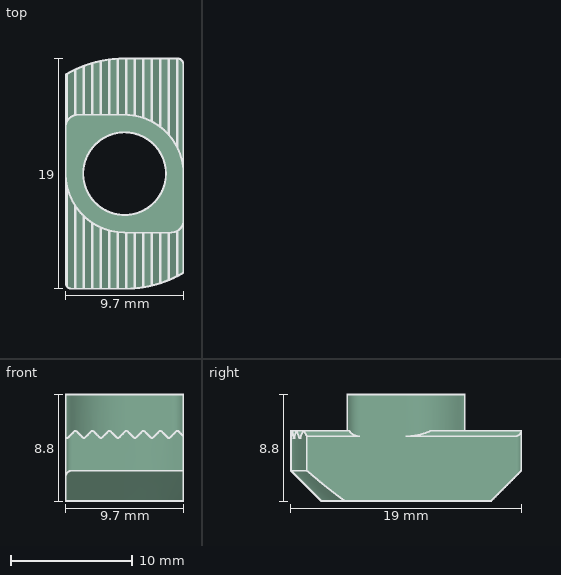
import cadquery as cq
import math

width = 9.7
length = 19.0
height = 8.8
half_width = width / 2
half_length = length / 2

base_corner_radius = 0.5
end_chamfer = 2.5

crest_height = 5.8
tooth_depth = 0.62
tooth_pitch = 1.4
crest_flat = 0.08
crest_offset = 0.15
valley_height = crest_height - tooth_depth
valley_flat = tooth_pitch - crest_flat - 2 * tooth_depth

boss_corner_radius = 1.0
bore_diameter = 6.8


def half_turned(solid):
    """Copy of a solid turned 180 degrees about the bore axis."""
    return solid.rotate((0, 0, 0), (0, 0, 1), 180)


def end_profile():
    """Half of the lengthwise section of the base, from the bore axis out to one bevelled end."""
    bottom_half_length = half_length - end_chamfer
    return (
        cq.Workplane("YZ")
        .lineTo(bottom_half_length, 0)
        .lineTo(half_length, end_chamfer)
        .lineTo(half_length, crest_height)
        .lineTo(0, crest_height)
        .close()
    )


def make_base_blank():
    """Plate with bevelled ends: each end is half flat and half a round sweep about the bore axis."""
    flat_quarter = end_profile().extrude(half_width)
    rounded_block = (
        cq.Workplane("XY")
        .rect(width, length)
        .extrude(crest_height)
        .edges("|Z and >X and >Y")
        .fillet(base_corner_radius)
    )
    flat_quarter = flat_quarter.intersect(rounded_block)

    round_body = end_profile().revolve(360, (0, 0, 0), (0, 1, 0))
    quarter_space = cq.Workplane("XY").box(half_width, half_length, crest_height, centered=False)
    round_quarter = round_body.intersect(quarter_space.translate((-half_width, 0, 0)))

    half_base = flat_quarter.union(round_quarter)
    return half_base.union(half_turned(half_base))


def make_groove(center_x):
    """Cutter for one V groove with a narrow flat bottom."""
    bottom = valley_flat / 2
    top = bottom + tooth_depth
    return (
        cq.Workplane("XZ")
        .moveTo(center_x - top, crest_height)
        .lineTo(center_x - bottom, valley_height)
        .lineTo(center_x + bottom, valley_height)
        .lineTo(center_x + top, crest_height)
        .close()
        .extrude(half_length, both=True)
    )


def cut_serrations(base):
    """Cut every groove that reaches the width of the base."""
    first_valley = crest_offset - tooth_pitch / 2
    reach = math.ceil(half_width / tooth_pitch)
    for index in range(-reach, reach + 1):
        base = base.cut(make_groove(first_valley + index * tooth_pitch))
    return base


def make_boss():
    """Square boss with two opposite corners fully rounded and the other two lightly rounded."""
    boss = cq.Workplane("XY").rect(width, width).extrude(height)
    boss = boss.edges("|Z and ((>X and <Y) or (<X and >Y))").fillet(boss_corner_radius)
    round_column = cq.Workplane("XY").circle(half_width).extrude(height)
    square_corner = cq.Workplane("XY").box(half_width, half_width, height, centered=False)
    corner_waste = square_corner.cut(round_column)
    return boss.cut(corner_waste).cut(half_turned(corner_waste))


def make_bore():
    """Through bore along Z."""
    return cq.Workplane("XY").circle(bore_diameter / 2).extrude(height)


result = cut_serrations(make_base_blank()).union(make_boss()).cut(make_bore())